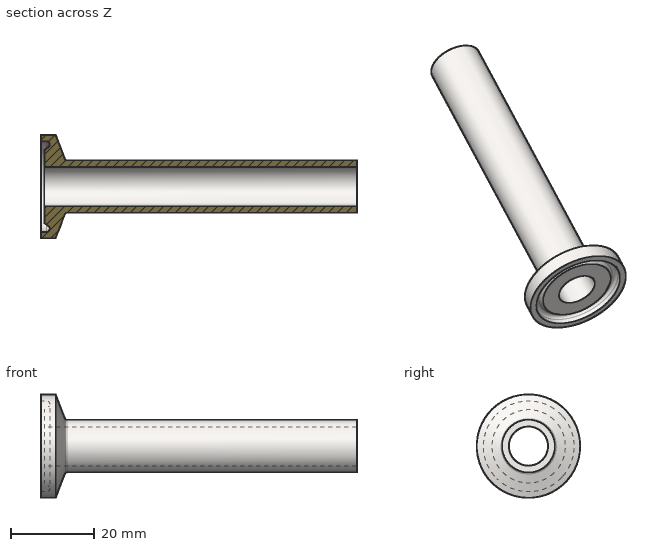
import cadquery as cq
import math

length = 76.2
bore_radius = 9.4 / 2
tube_radius = 12.7 / 2

flange_radius = 25.0 / 2
rim_width = 3.6
cone_angle = math.radians(21)
neck_fillet = 0.45

groove_outer_radius = 21.9 / 2
groove_inner_radius = 8.85
face_recess = 0.85
groove_floor_radius = 0.75
groove_wall_angle = math.radians(38)


def make_body():
    """Solid flange, tapered back and tube, with a fillet where taper meets tube."""
    cone_length = (flange_radius - tube_radius) * math.tan(cone_angle)
    cone_end = rim_width + cone_length
    tangent = neck_fillet * math.tan((math.pi / 2 - cone_angle) / 2)
    arc_start = (
        cone_end - tangent * math.sin(cone_angle),
        tube_radius + tangent * math.cos(cone_angle),
    )
    arc_end = (cone_end + tangent, tube_radius)
    return (
        cq.Workplane("XY")
        .lineTo(0, flange_radius)
        .lineTo(rim_width, flange_radius)
        .lineTo(*arc_start)
        .radiusArc(arc_end, -neck_fillet)
        .lineTo(length, tube_radius)
        .lineTo(length, 0)
        .close()
        .revolve(360, (0, 0, 0), (1, 0, 0))
    )


def make_face_recess():
    """Recess with gasket groove to cut from the flange face; the groove floor is tangent to both walls."""
    floor_center_radius = groove_outer_radius - groove_floor_radius
    inner_tangent_radius = floor_center_radius - groove_floor_radius * math.cos(groove_wall_angle)
    wall_depth = (inner_tangent_radius - groove_inner_radius) / math.tan(groove_wall_angle)
    inner_tangent_depth = face_recess + wall_depth
    floor_center_depth = inner_tangent_depth - groove_floor_radius * math.sin(groove_wall_angle)
    return (
        cq.Workplane("XY")
        .lineTo(face_recess, 0)
        .lineTo(face_recess, groove_inner_radius)
        .lineTo(inner_tangent_depth, inner_tangent_radius)
        .threePointArc(
            (floor_center_depth + groove_floor_radius, floor_center_radius),
            (floor_center_depth, groove_outer_radius),
        )
        .lineTo(0, groove_outer_radius)
        .close()
        .revolve(360, (0, 0, 0), (1, 0, 0))
    )


def make_bore():
    """Through bore along the whole part."""
    return cq.Workplane("YZ").circle(bore_radius).extrude(length)


result = make_body().cut(make_face_recess()).cut(make_bore())